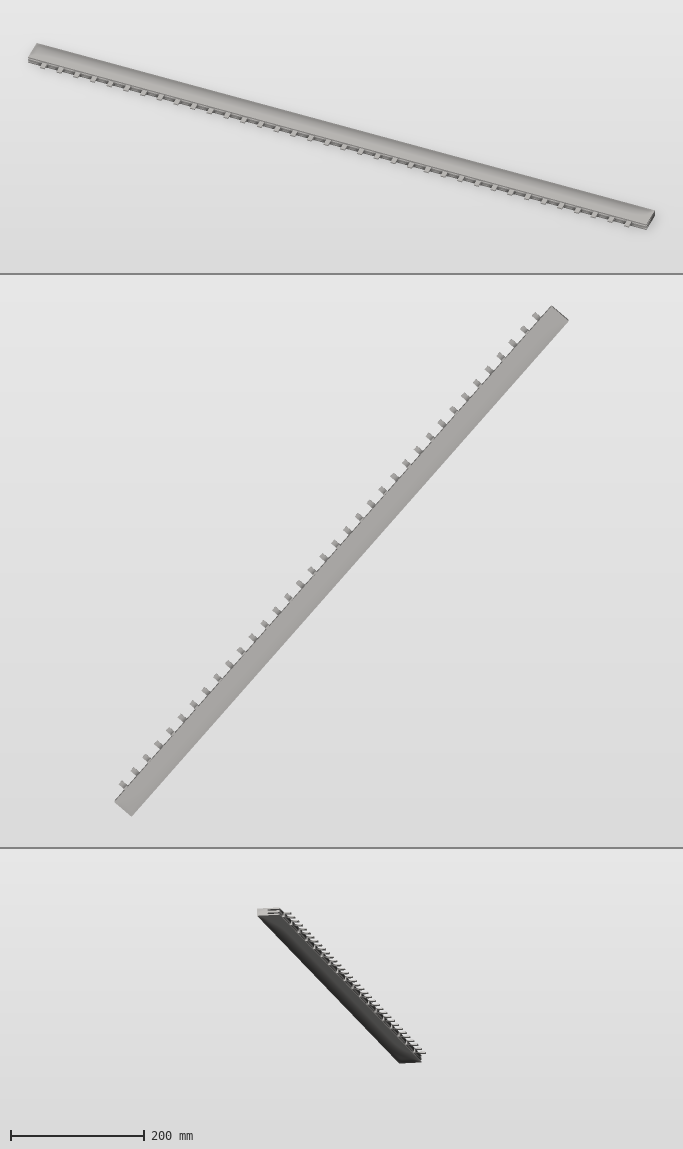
import cadquery as cq

length = 1000.0
housing_depth = 34.2
housing_height = 11.2

slot_depth = 18.0
slot_height = 2.0
lower_slot_z = 1.9
upper_slot_z = 7.1

pin_count = 36
pin_pitch = 27.0
pin_width = 7.5
pin_reach = 12.0
first_pin_x = (length - (pin_count - 1) * pin_pitch) / 2

step_front = 2.5
step_thickness = 1.5
step_back = step_front - step_thickness


def block(x_start, x_end, y_start, y_end, z_start, z_end):
    """Box between the given limits on each axis."""
    size = (x_end - x_start, y_end - y_start, z_end - z_start)
    return cq.Workplane("XY").box(*size, centered=False).translate((x_start, y_start, z_start))


def housing():
    """Bar with the two front slots cut along its full length."""
    body = block(0, length, 0, housing_depth, 0, housing_height)
    for slot_z in (lower_slot_z, upper_slot_z):
        body = body.cut(block(0, length, 0, slot_depth, slot_z, slot_z + slot_height))
    return body


def upper_pin(x_center):
    """Straight pin that leaves the upper slot."""
    left = x_center - pin_width / 2
    right = x_center + pin_width / 2
    return block(left, right, -pin_reach, slot_depth, upper_slot_z, upper_slot_z + slot_height)


def lower_pin(x_center):
    """Pin that leaves the lower slot and steps up to end level with the upper pins."""
    left = x_center - pin_width / 2
    right = x_center + pin_width / 2
    upper_slot_top = upper_slot_z + slot_height
    root = block(left, right, -step_front, slot_depth, lower_slot_z, lower_slot_z + slot_height)
    step = block(left, right, -step_front, -step_back, lower_slot_z, upper_slot_top)
    tip = block(left, right, -pin_reach, -step_back, upper_slot_z, upper_slot_top)
    return root.union(step).union(tip)


result = housing()
for index in range(pin_count):
    pin_x = first_pin_x + index * pin_pitch
    pin = lower_pin(pin_x) if index % 2 == 0 else upper_pin(pin_x)
    result = result.union(pin)